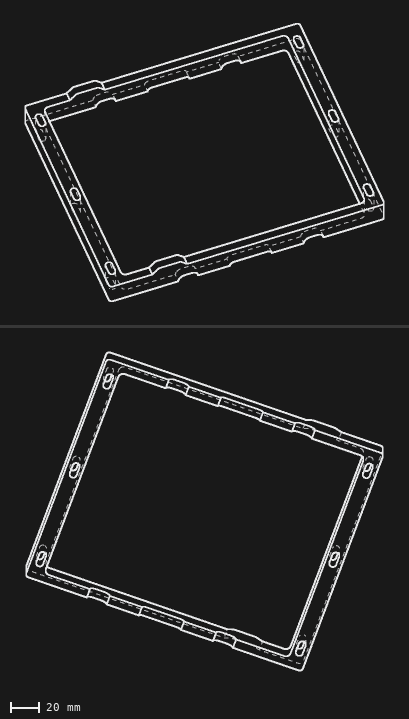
import cadquery as cq

width = 172.0
length = 209.0
total_height = 22.5
pad_height = 5.0
frame_height = total_height - pad_height
side_wall = 6.7
end_wall = 12.1
outer_corner_radius = 2.5
inner_corner_radius = 3.5

slot_length = 11.0
slot_width = 5.0
slot_spacing = 70.2
slot_edge_distance = 6.5

pad_center_y = -59.0
pad_base_length = 26.5
pad_edge_radius = 2.0

notch_spacing = 47.7
middle_notch_y = 2.7
middle_notch_length = 31.8
middle_notch_height = 3.1
outer_notch_length = 15.0
outer_notch_height = 5.0


def make_frame():
    outer = cq.Workplane("XY").rect(width, length).extrude(frame_height)
    outer = outer.edges("|Z").fillet(outer_corner_radius)
    opening = (
        cq.Workplane("XY")
        .rect(width - 2 * side_wall, length - 2 * end_wall)
        .extrude(frame_height)
        .edges("|Z")
        .fillet(inner_corner_radius)
    )
    return outer.cut(opening)


def make_slots():
    return (
        cq.Workplane("XY")
        .rarray(slot_spacing, length - 2 * slot_edge_distance, 3, 2)
        .slot2D(slot_length, slot_width)
        .extrude(frame_height)
    )


def make_pad(wall_center_x):
    half_base = pad_base_length / 2
    half_top = half_base - pad_height
    return (
        cq.Workplane("YZ", origin=(wall_center_x - side_wall / 2, pad_center_y, frame_height))
        .moveTo(-half_base, 0)
        .lineTo(-half_top, pad_height)
        .lineTo(half_top, pad_height)
        .lineTo(half_base, 0)
        .close()
        .extrude(side_wall)
        .edges(">Z and |X")
        .fillet(pad_edge_radius)
    )


def make_notch(center_y, notch_length, notch_height):
    """Notch across the full width, with quarter-round ends as tall as the notch."""
    half_length = notch_length / 2
    half_flat = half_length - notch_height
    diagonal = notch_height * 0.5 ** 0.5
    return (
        cq.Workplane("YZ", origin=(-width / 2, center_y, 0))
        .moveTo(-half_length, 0)
        .threePointArc((-half_flat - diagonal, diagonal), (-half_flat, notch_height))
        .lineTo(half_flat, notch_height)
        .threePointArc((half_flat + diagonal, diagonal), (half_length, 0))
        .close()
        .extrude(width)
    )


result = make_frame().cut(make_slots())
for side in (-1, 1):
    result = result.union(make_pad(side * (width - side_wall) / 2))

result = result.cut(make_notch(middle_notch_y, middle_notch_length, middle_notch_height))
for side in (-1, 1):
    notch_y = middle_notch_y + side * notch_spacing
    result = result.cut(make_notch(notch_y, outer_notch_length, outer_notch_height))